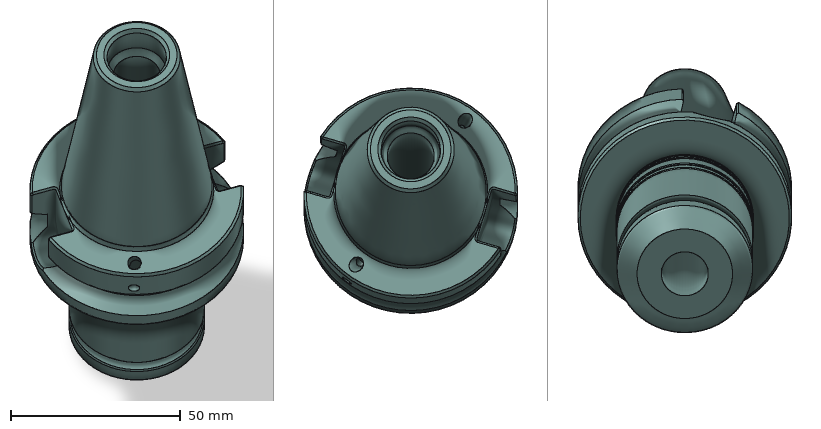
import cadquery as cq
import math

TOTAL_HEIGHT = 139.4
GAUGE_Z = 74.0

TAPER_RATE = 7 / 24 / 2
GAUGE_DIAMETER = 44.5
GAUGE_RADIUS = GAUGE_DIAMETER / 2
TIP_CHAMFER = 0.8
NECK_RADIUS = 21.7
NECK_Z = 73.2
NECK_FLARE = 1.0

FLANGE_TOP_Z = 72.2
FLANGE_BOTTOM_Z = 47.0
FLANGE_RADIUS = 31.5
FLANGE_CHAMFER = 0.7
GROOVE_RADIUS = 26.3
GROOVE_CENTER_Z = 57.5
GROOVE_FLOOR_HEIGHT = 4.7
GROOVE_WALL_ANGLE = 30.0

NOSE_DIAMETER = 40.0
NOSE_RADIUS = NOSE_DIAMETER / 2
BAND_DIAMETER = 40.5
BAND_RADIUS = BAND_DIAMETER / 2
BAND_CHAMFER = BAND_RADIUS - NOSE_RADIUS
BAND_SPANS = [
    (44.7, 46.3),
    (38.8, 43.4),
    (35.1, 37.9),
]
NOSE_GROOVE_RADIUS = 17.0
NOSE_GROOVE_BOTTOM_Z = 8.6
NOSE_GROOVE_TOP_Z = 12.8
RIM_CHAMFER = 0.4
NOSE_CONE_Z = 3.5
NOSE_CONE_RADIUS = 19.5
BOTTOM_RADIUS = 14.1

BORE_DIAMETER = 13.8
COUNTERBORE_DIAMETER = 17.4
COUNTERBORE_DEPTH = 8.4
COUNTERBORE_CONE_DEPTH = 1.8
MOUTH_CHAMFER = 1.0

SLOT_HALF_WIDTH = 8.1
SLOT_FLOOR_Y = 22.6
SLOT_ARC_CENTER_Z = 58.8
SLOT_FLOOR_FILLET = 0.7
SLOT_EDGE_CHAMFER = 0.5

COOLANT_ANGLE = 160.0
COOLANT_DIAMETER = 3.9
COOLANT_ENTRY_RADIUS = 26.9
COOLANT_TILT = 34.0
CROSS_HOLE_DIAMETER = 3.2
CROSS_HOLE_Z = 66.0


def revolve_profile(points):
    """Turn a closed (radius, z) outline about the Z axis."""
    return cq.Workplane("XZ").polyline(points).close().revolve(360, (0, 0, 0), (0, 1, 0))


def make_shank():
    """Taper with a chamfered tip, necked in and flared out where it meets the flange."""
    tip_radius = GAUGE_RADIUS - (TOTAL_HEIGHT - GAUGE_Z) * TAPER_RATE
    chamfer_radius = tip_radius + TIP_CHAMFER * TAPER_RATE
    flare_radius = NECK_RADIUS + NECK_FLARE
    return revolve_profile([
        (0, FLANGE_TOP_Z),
        (flare_radius, FLANGE_TOP_Z),
        (NECK_RADIUS, NECK_Z),
        (GAUGE_RADIUS, GAUGE_Z),
        (chamfer_radius, TOTAL_HEIGHT - TIP_CHAMFER),
        (tip_radius - TIP_CHAMFER, TOTAL_HEIGHT),
        (0, TOTAL_HEIGHT),
    ])


def make_flange():
    """Flange disc with a flat-floored V groove around its rim."""
    slope = math.tan(math.radians(GROOVE_WALL_ANGLE))
    floor_top = GROOVE_CENTER_Z + GROOVE_FLOOR_HEIGHT / 2
    floor_bottom = GROOVE_CENTER_Z - GROOVE_FLOOR_HEIGHT / 2
    return revolve_profile([
        (0, FLANGE_BOTTOM_Z),
        (FLANGE_RADIUS - FLANGE_CHAMFER, FLANGE_BOTTOM_Z),
        (FLANGE_RADIUS, FLANGE_BOTTOM_Z + FLANGE_CHAMFER),
        (FLANGE_RADIUS, floor_bottom - (FLANGE_RADIUS - GROOVE_RADIUS) * slope),
        (GROOVE_RADIUS, floor_bottom),
        (GROOVE_RADIUS, floor_top),
        (FLANGE_RADIUS, floor_top + (FLANGE_RADIUS - GROOVE_RADIUS) * slope),
        (FLANGE_RADIUS, FLANGE_TOP_Z - FLANGE_CHAMFER),
        (FLANGE_RADIUS - FLANGE_CHAMFER, FLANGE_TOP_Z),
        (0, FLANGE_TOP_Z),
    ])


def make_nose():
    """Grooved cylinder with a conical end and three raised bands."""
    nose = revolve_profile([
        (0, 0),
        (BOTTOM_RADIUS, 0),
        (NOSE_CONE_RADIUS, NOSE_CONE_Z),
        (NOSE_RADIUS, NOSE_CONE_Z + NOSE_RADIUS - NOSE_CONE_RADIUS),
        (NOSE_RADIUS, NOSE_GROOVE_BOTTOM_Z - RIM_CHAMFER),
        (NOSE_RADIUS - RIM_CHAMFER, NOSE_GROOVE_BOTTOM_Z),
        (NOSE_GROOVE_RADIUS, NOSE_GROOVE_BOTTOM_Z),
        (NOSE_GROOVE_RADIUS, NOSE_GROOVE_TOP_Z),
        (NOSE_RADIUS, NOSE_GROOVE_TOP_Z),
        (NOSE_RADIUS, FLANGE_BOTTOM_Z),
        (0, FLANGE_BOTTOM_Z),
    ])
    for bottom, top in BAND_SPANS:
        band = cq.Workplane("XY", origin=(0, 0, bottom)).circle(BAND_RADIUS).extrude(top - bottom)
        nose = nose.union(band.edges().chamfer(BAND_CHAMFER))
    return nose


def make_bore():
    """Through bore opening through a short cone into a counterbore at the taper tip."""
    radius = BORE_DIAMETER / 2
    counterbore_radius = COUNTERBORE_DIAMETER / 2
    counterbore_z = TOTAL_HEIGHT - COUNTERBORE_DEPTH
    return revolve_profile([
        (0, 0),
        (radius, 0),
        (radius, counterbore_z - COUNTERBORE_CONE_DEPTH),
        (counterbore_radius, counterbore_z),
        (counterbore_radius, TOTAL_HEIGHT - MOUTH_CHAMFER),
        (counterbore_radius + MOUTH_CHAMFER, TOTAL_HEIGHT),
        (0, TOTAL_HEIGHT),
    ])


def make_slot_cutter():
    """Round-bottomed slot on the -Y side with filleted floor corners."""
    cutter = (
        cq.Workplane("XZ", origin=(0, -SLOT_FLOOR_Y, 0))
        .moveTo(-SLOT_HALF_WIDTH, FLANGE_TOP_Z)
        .lineTo(-SLOT_HALF_WIDTH, SLOT_ARC_CENTER_Z)
        .threePointArc(
            (0, SLOT_ARC_CENTER_Z - SLOT_HALF_WIDTH),
            (SLOT_HALF_WIDTH, SLOT_ARC_CENTER_Z),
        )
        .lineTo(SLOT_HALF_WIDTH, FLANGE_TOP_Z)
        .close()
        .extrude(FLANGE_RADIUS)
    )
    floor_edges = cutter.faces(">Y").edges("not >Z")
    return floor_edges.fillet(SLOT_FLOOR_FILLET)


def make_coolant_cutter(angle):
    """Tilted hole from the flange face to the bore, met by a radial hole from the rim."""
    tilt = math.radians(COOLANT_TILT)
    inward = cq.Vector(-math.sin(tilt), 0, -math.cos(tilt))
    entry = cq.Vector(COOLANT_ENTRY_RADIUS, 0, FLANGE_TOP_Z)
    start = entry - inward * COOLANT_DIAMETER
    length = COOLANT_DIAMETER + COOLANT_ENTRY_RADIUS / math.sin(tilt)
    tilted = cq.Solid.makeCylinder(COOLANT_DIAMETER / 2, length, start, inward)

    meeting_radius = COOLANT_ENTRY_RADIUS - (FLANGE_TOP_Z - CROSS_HOLE_Z) * math.tan(tilt)
    cross = cq.Solid.makeCylinder(
        CROSS_HOLE_DIAMETER / 2,
        FLANGE_RADIUS - meeting_radius,
        cq.Vector(meeting_radius, 0, CROSS_HOLE_Z),
        cq.Vector(1, 0, 0),
    )
    cutter = cq.Workplane(tilted).union(cq.Workplane(cross))
    return cutter.rotate((0, 0, 0), (0, 0, 1), angle)


def chamfer_slot_rims(flange):
    """Break the slot edges on the flange face, its bevel and both rim cylinders."""
    top = flange.edges("|Y").edges(">Z")
    bevel = flange.edges("%HYPERBOLA").edges(">Z")
    upright = flange.edges("|Z").edges("<Y or >Y")
    rounded = flange.edges("<Y or >Y")
    rims = top.add(bevel).add(upright).add(rounded)
    return rims.chamfer(SLOT_EDGE_CHAMFER)


flange = make_flange()
slot = make_slot_cutter()
for turn in (0, 180):
    flange = flange.cut(slot.rotate((0, 0, 0), (0, 0, 1), turn))
flange = chamfer_slot_rims(flange)

result = make_shank().union(flange).union(make_nose()).cut(make_bore())
for turn in (0, 180):
    result = result.cut(make_coolant_cutter(COOLANT_ANGLE + turn))